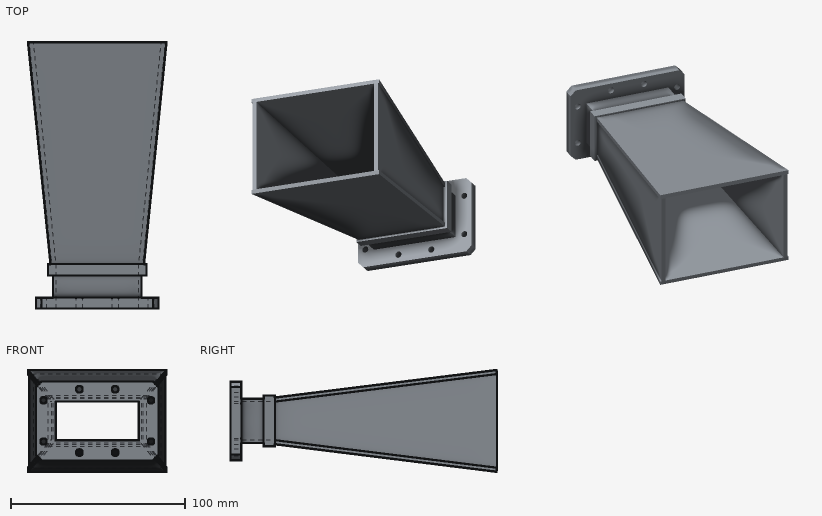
import cadquery as cq


BORE_WIDTH = 47.5
BORE_HEIGHT = 22.15
TUBE_WALL = 1.7
TUBE_WIDTH = BORE_WIDTH + 2 * TUBE_WALL
TUBE_HEIGHT = BORE_HEIGHT + 2 * TUBE_WALL

FLANGE_WIDTH = 70.64
FLANGE_HEIGHT = 45.24
FLANGE_THICKNESS = 6.35
FLANGE_CHAMFER = 3.2
OUTER_HOLE_DIAMETER = 3.66
OUTER_HOLE_X = 30.86
OUTER_HOLE_Z = 11.85
INNER_HOLE_DIAMETER = 3.81
INNER_HOLE_X = 10.26
INNER_HOLE_Z = 18.18

TUBE_LENGTH = 12.7
COLLAR_WIDTH = 56.6
COLLAR_HEIGHT = 29.2
COLLAR_LENGTH = 6.5
COLLAR_START = FLANGE_THICKNESS + TUBE_LENGTH
HORN_START = COLLAR_START + COLLAR_LENGTH

TOTAL_LENGTH = 153.16
MOUTH_WIDTH = 79.65
MOUTH_HEIGHT = 58.57
PLATE_RISE = 2.4
SIDE_WALL = 2.4
SIDE_INSET = 0.75
THROAT_WIDTH = BORE_WIDTH + 2 * (SIDE_WALL + SIDE_INSET)
HORN_LENGTH = TOTAL_LENGTH - HORN_START

INNER_THROAT_Z = BORE_HEIGHT / 2
OUTER_THROAT_Z = INNER_THROAT_Z + PLATE_RISE
PLATE_SLOPE = (MOUTH_HEIGHT / 2 - OUTER_THROAT_Z) / HORN_LENGTH
MOUTH_SETBACK = PLATE_RISE * PLATE_SLOPE / (1 + PLATE_SLOPE**2)
OUTER_EDGE_Y = TOTAL_LENGTH - MOUTH_SETBACK
INNER_MOUTH_Z = MOUTH_HEIGHT / 2 - MOUTH_SETBACK / PLATE_SLOPE


def block(width, height, start, length):
    """Box centred on the guide axis, running along +Y from `start`."""
    return cq.Workplane("XY").box(width, length, height).translate((0, start + length / 2, 0))


def flared_outline(inset):
    """Vertical prism with the tapered plan of the horn, moved in by `inset` on each side."""
    throat_x = THROAT_WIDTH / 2 - inset
    mouth_x = MOUTH_WIDTH / 2 - inset
    return (
        cq.Workplane("XY")
        .moveTo(-throat_x, HORN_START)
        .lineTo(throat_x, HORN_START)
        .lineTo(mouth_x, TOTAL_LENGTH)
        .lineTo(-mouth_x, TOTAL_LENGTH)
        .close()
        .extrude(MOUTH_HEIGHT / 2, both=True)
    )


def side_profile(points):
    """Prism along X from a profile of (Y, Z) points, wider than the horn mouth."""
    return cq.Workplane("YZ").polyline(points).close().extrude(MOUTH_WIDTH, both=True)


def make_flange():
    flange = block(FLANGE_WIDTH, FLANGE_HEIGHT, 0, FLANGE_THICKNESS).edges("|Y").chamfer(FLANGE_CHAMFER)
    hole_rows = [
        (OUTER_HOLE_DIAMETER, OUTER_HOLE_X, OUTER_HOLE_Z),
        (INNER_HOLE_DIAMETER, INNER_HOLE_X, INNER_HOLE_Z),
    ]
    for diameter, x, z in hole_rows:
        holes = (
            cq.Workplane("XZ")
            .rect(2 * x, 2 * z, forConstruction=True)
            .vertices()
            .circle(diameter / 2)
            .extrude(-FLANGE_THICKNESS)
        )
        flange = flange.cut(holes)
    return flange


def make_neck():
    tube = block(TUBE_WIDTH, TUBE_HEIGHT, FLANGE_THICKNESS, TUBE_LENGTH)
    collar = block(COLLAR_WIDTH, COLLAR_HEIGHT, COLLAR_START, COLLAR_LENGTH)
    return tube.union(collar)


def make_horn():
    plate_profile = [
        (HORN_START, INNER_THROAT_Z),
        (HORN_START, OUTER_THROAT_Z),
        (OUTER_EDGE_Y, MOUTH_HEIGHT / 2),
        (TOTAL_LENGTH, INNER_MOUTH_Z),
    ]
    upper_plate = side_profile(plate_profile).intersect(flared_outline(0))
    lower_plate = upper_plate.mirror("XY")

    between_plates = side_profile([
        (HORN_START, -INNER_THROAT_Z),
        (HORN_START, INNER_THROAT_Z),
        (TOTAL_LENGTH, INNER_MOUTH_Z),
        (TOTAL_LENGTH, -INNER_MOUTH_Z),
    ])
    wall_ring = flared_outline(SIDE_INSET).cut(flared_outline(SIDE_INSET + SIDE_WALL))
    side_walls = wall_ring.intersect(between_plates)
    return upper_plate.union(lower_plate).union(side_walls)


bore = block(BORE_WIDTH, BORE_HEIGHT, 0, HORN_START)
result = make_flange().union(make_neck()).cut(bore).union(make_horn())